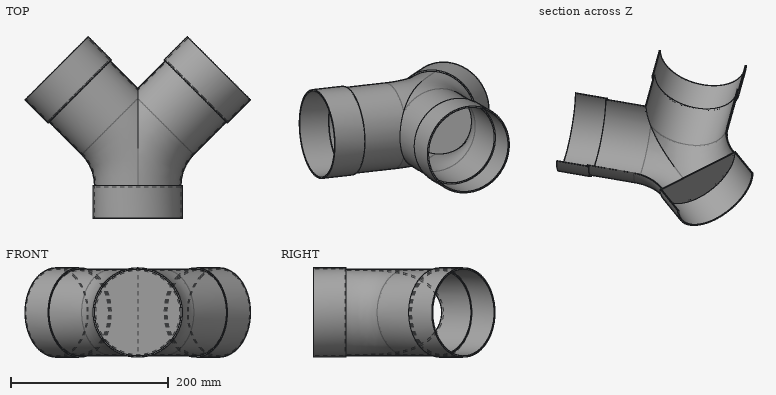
import cadquery as cq
import math

pipe_diameter = 110.0
pipe_bore = 106.5
socket_diameter = 113.5
socket_bore = pipe_diameter
socket_length = 41.5
shoulder_thickness = 1.7
leg_length = 58.5
bend_radius = 110.5
bend_angle = 45
trim_size = 572.5

angle = math.radians(bend_angle)
bend_end_x = -bend_radius * (1 - math.cos(angle))
bend_end_y = socket_length + bend_radius * math.sin(angle)
leg_direction = cq.Vector(-math.sin(angle), math.cos(angle), 0)
leg_start = cq.Vector(bend_end_x, bend_end_y, 0)
outlet_socket_start = leg_start + leg_direction * leg_length
inlet_direction = cq.Vector(0, 1, 0)


def tube(start, direction, length, outer_diameter, inner_diameter):
    """Straight tube starting at a point and running along a direction."""
    plane = cq.Plane(origin=start, normal=direction)
    profile = cq.Workplane(plane).circle(outer_diameter / 2).circle(inner_diameter / 2)
    return profile.extrude(length)


def outlet_socket():
    """Open socket at the end of the left leg, with a shoulder that stops the inserted pipe."""
    shoulder = tube(
        outlet_socket_start, leg_direction, shoulder_thickness, socket_diameter, pipe_bore
    )
    sleeve = tube(outlet_socket_start, leg_direction, socket_length, socket_diameter, socket_bore)
    return shoulder.union(sleeve)


def inlet_socket():
    """Open inlet socket with a closed floor at its inner end."""
    inlet_start = cq.Vector(0, 0, 0)
    sleeve = tube(inlet_start, inlet_direction, socket_length, socket_diameter, socket_bore)
    floor = cq.Workplane("XZ", origin=(0, socket_length, 0)).circle(socket_diameter / 2)
    return sleeve.union(floor.extrude(shoulder_thickness))


def bend():
    """Hollow elbow from the inner end of the inlet socket to the start of the left leg."""
    profile = cq.Workplane("XZ", origin=(0, socket_length, 0))
    profile = profile.circle(pipe_diameter / 2).circle(pipe_bore / 2)
    return profile.revolve(bend_angle, (-bend_radius, 0, 0), (-bend_radius, 1, 0))


def left_half_space():
    """Block covering everything on the -X side of the symmetry plane."""
    return cq.Workplane("XY").box(trim_size, trim_size, trim_size).translate((-trim_size / 2, 0, 0))


def left_branch():
    """Bend, leg and outlet socket, cut off at the symmetry plane."""
    leg = tube(leg_start, leg_direction, leg_length, pipe_diameter, pipe_bore)
    branch = bend().union(leg).union(outlet_socket())
    return branch.intersect(left_half_space())


branch = left_branch()
result = branch.union(branch.mirror("YZ")).union(inlet_socket())